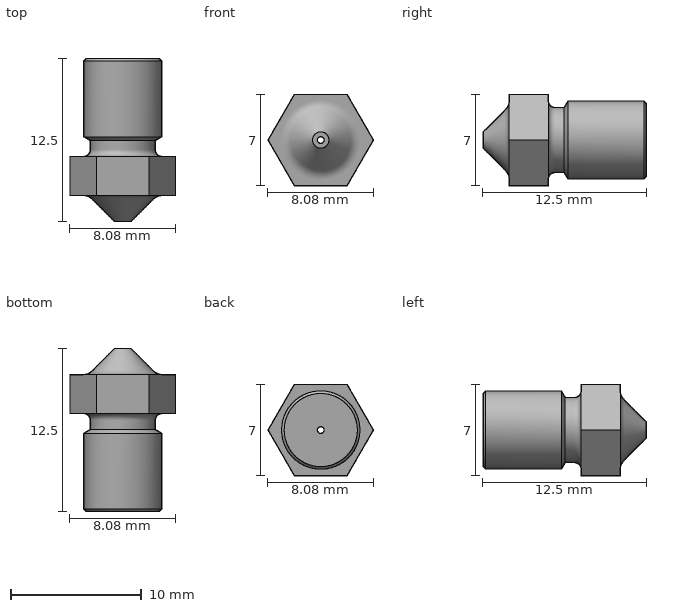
import cadquery as cq
import math

hex_across_flats = 7.0
hex_across_corners = hex_across_flats / math.cos(math.radians(30))
hex_length = 3.0

tip_length = 2.0
tip_face_radius = 0.625
cone_slope_angle = 45.0
tip_fillet_radius = 1.0

shank_length = 7.5
thread_radius = 3.0
thread_length = 6.0
thread_end_chamfer = 0.2
neck_radius = 2.5
neck_fillet_radius = 0.5
relief_angle = 30.0
relief_length = (thread_radius - neck_radius) * math.tan(math.radians(relief_angle))

orifice_diameter = 0.5

tip_y = -tip_length
hex_back_y = hex_length
shank_end_y = hex_back_y + shank_length
thread_start_y = shank_end_y - thread_length


def make_hexagon():
    """Hexagonal prism with corners on the X axis and flats facing +Z and -Z."""
    return cq.Workplane("XZ").polygon(6, hex_across_corners).extrude(-hex_length)


def make_tip():
    """Truncated cone with a concave fillet blending it into the hexagon."""
    slope = math.radians(cone_slope_angle)
    base_radius = tip_face_radius + tip_length * math.tan(slope)
    half_turn = (math.pi / 2 - slope) / 2
    fillet_reach = tip_fillet_radius * math.tan(half_turn)
    cone_end = (base_radius - fillet_reach * math.sin(slope), -fillet_reach * math.cos(slope))
    fillet_end = (base_radius + fillet_reach, 0)
    fillet_middle = (
        fillet_end[0] - tip_fillet_radius * math.sin(half_turn),
        -tip_fillet_radius * (1 - math.cos(half_turn)),
    )
    profile = (
        cq.Workplane("XY")
        .moveTo(0, tip_y)
        .lineTo(tip_face_radius, tip_y)
        .lineTo(*cone_end)
        .threePointArc(fillet_middle, fillet_end)
        .lineTo(0, 0)
        .close()
    )
    return profile.revolve(360, (0, 0), (0, 1))


def make_shank():
    """Relief neck with a fillet at the hexagon, and the chamfered thread cylinder."""
    fillet_end_y = hex_back_y + neck_fillet_radius
    fillet_outer_radius = neck_radius + neck_fillet_radius
    arc_offset = neck_fillet_radius * (1 - math.sqrt(0.5))
    fillet_middle = (neck_radius + arc_offset, hex_back_y + arc_offset)
    profile = (
        cq.Workplane("XY")
        .moveTo(0, hex_back_y)
        .lineTo(fillet_outer_radius, hex_back_y)
        .threePointArc(fillet_middle, (neck_radius, fillet_end_y))
        .lineTo(neck_radius, thread_start_y - relief_length)
        .lineTo(thread_radius, thread_start_y)
        .lineTo(thread_radius, shank_end_y - thread_end_chamfer)
        .lineTo(thread_radius - thread_end_chamfer, shank_end_y)
        .lineTo(0, shank_end_y)
        .close()
    )
    return profile.revolve(360, (0, 0), (0, 1))


def make_orifice():
    """Bore along the full length of the axis."""
    return (
        cq.Workplane("XZ", origin=(0, tip_y, 0))
        .circle(orifice_diameter / 2)
        .extrude(-(shank_end_y - tip_y))
    )


result = make_hexagon().union(make_tip()).union(make_shank()).cut(make_orifice())